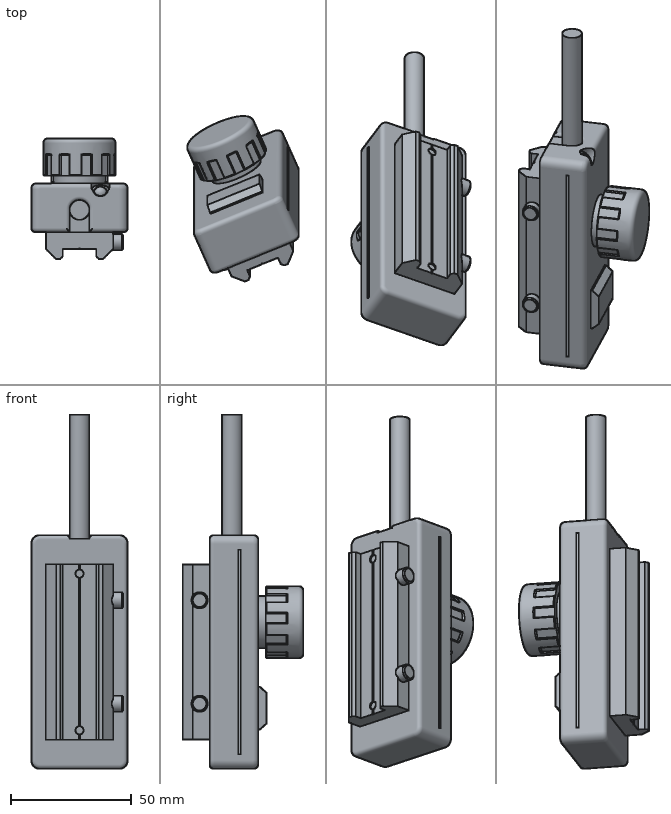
import cadquery as cq
import math

body_width = 40.0
body_depth = 20.3
body_height = 97.0
corner_radius = 3.5
front_rim_radius = 1.8
back_rim_radius = 2.0
overlap = 0.7

seam_y = 12.3
seam_width = 1.0
seam_depth = 0.3
end_cap_height = 6.2

total_height = 147.0
cable_radius = 4.1
cable_y = 9.3
recess_depth = 1.5

rail_half_width = 14.0
rail_height = 72.8
rail_projection = 11.2
rail_shoulder = 6.9
channel_half_width = 6.9
channel_floor = 7.0
tip_outer_x = rail_half_width - (rail_projection - rail_shoulder)
tip_chamfer = 1.2
scribe_width = 0.6
scribe_depth = 0.3
rail_hole_radius = 1.69
rail_hole_spacing = 65.0
rail_hole_depth = 0.6

screw_radius = 3.4
screw_length = 4.1
screw_chamfer = 0.6
screw_spacing = 42.9
screw_y = -4.1

knob_z = 60.9
knob_radius = 15.0
knob_length = 15.6
knob_edge_radius = 1.9
knob_base_chamfer = 0.5
collar_radius = 10.9
collar_length = 3.1
flute_count = 10
flute_start_angle = 11.5
flute_floor_width = 3.8
flute_length = 8.5
flute_depth = 0.7
flute_taper = 40.0

switch_half_width = 11.8
switch_bottom = 16.3
switch_top = 34.1
switch_base = 0.6
switch_projection = 3.4
switch_slope = 2.5

lamp_x = 8.7
lamp_hole_radius = 3.8
lamp_hole_depth = 4.7
lamp_dome_radius = 2.8
lamp_dome_sink = 1.0

middle_z = body_height / 2
knob_start = body_depth + collar_length


def back_plane(y, z):
    """Workplane facing +Y, with local x along -X and local y along +Z."""
    return cq.Workplane(cq.Plane(origin=(0, y, z), xDir=(-1, 0, 0), normal=(0, 1, 0)))


def make_body():
    body = cq.Workplane("XY").box(body_width, body_depth, body_height, centered=(True, False, False))
    body = body.edges("|Y").fillet(corner_radius)
    body = body.faces("<Y").edges().fillet(front_rim_radius)
    body = body.faces(">Y").edges().fillet(back_rim_radius)
    seam_height = body_height - 2 * end_cap_height
    for side in (-1, 1):
        seam = cq.Workplane("XY").box(2 * seam_depth, seam_width, seam_height)
        body = body.cut(seam.translate((side * body_width / 2, seam_y, middle_z)))
    return body


def recess_profile():
    """Half section of the cable recess, with a convex arc for its wall."""
    floor_z = body_height - recess_depth
    outer = cable_radius + recess_depth
    bend = recess_depth * math.sqrt(0.5)
    return (
        cq.Workplane("XZ", origin=(0, cable_y, 0))
        .moveTo(0, floor_z)
        .lineTo(cable_radius, floor_z)
        .threePointArc((outer - bend, floor_z + bend), (outer, body_height))
        .lineTo(0, body_height)
        .close()
    )


def make_cable_recess():
    round_end = recess_profile().revolve(360, (0, 0, 0), (0, 1, 0))
    right_side = recess_profile().extrude(cable_y)
    return round_end.union(right_side).union(right_side.mirror("YZ"))


def make_cable():
    root_z = body_height - recess_depth - overlap
    cable = cq.Workplane("XY", origin=(0, cable_y, root_z))
    return cable.circle(cable_radius).extrude(total_height - root_z)


def make_rail():
    right_side = [
        (rail_half_width, overlap),
        (rail_half_width, -rail_shoulder),
        (tip_outer_x, -rail_projection),
        (channel_half_width + tip_chamfer, -rail_projection),
        (channel_half_width, tip_chamfer - rail_projection),
        (channel_half_width, -channel_floor),
    ]
    left_side = [(-x, y) for x, y in reversed(right_side)]
    bottom_z = middle_z - rail_height / 2
    section = cq.Workplane("XY", origin=(0, 0, bottom_z)).polyline(right_side + left_side).close()
    rail = section.extrude(rail_height)

    scribe = cq.Workplane("XY").box(scribe_width, 2 * scribe_depth, rail_height)
    rail = rail.cut(scribe.translate((0, -channel_floor, middle_z)))
    for side in (-1, 1):
        hole = back_plane(-channel_floor, middle_z + side * rail_hole_spacing / 2)
        rail = rail.cut(hole.circle(rail_hole_radius).extrude(rail_hole_depth))
    return rail


def make_clamp_screw(z):
    screw = cq.Workplane("YZ", origin=(rail_half_width - overlap, screw_y, z))
    return screw.circle(screw_radius).extrude(screw_length + overlap).faces(">X").chamfer(screw_chamfer)


def make_knob():
    knob = back_plane(knob_start, knob_z).circle(knob_radius).extrude(knob_length)
    knob = knob.faces(">Y").edges().fillet(knob_edge_radius)
    knob = knob.faces("<Y").edges().chamfer(knob_base_chamfer)
    flute = (
        cq.Workplane("XY", origin=(0, knob_start, knob_z + knob_radius - flute_depth))
        .rect(flute_floor_width, 2 * flute_length)
        .extrude(2 * flute_depth, taper=-flute_taper)
    )
    for i in range(flute_count):
        angle = flute_start_angle + i * 360 / flute_count
        knob = knob.cut(flute.rotate((0, 0, knob_z), (0, 1, knob_z), angle))
    collar = back_plane(body_depth - overlap, knob_z).circle(collar_radius)
    collar = collar.extrude(collar_length + 2 * overlap)
    return knob.union(collar)


def make_switch():
    base_y = body_depth + switch_base
    face_y = body_depth + switch_projection
    profile = [
        (body_depth - overlap, switch_bottom),
        (base_y, switch_bottom),
        (face_y, switch_bottom + switch_slope),
        (face_y, switch_top - switch_slope),
        (base_y, switch_top),
        (body_depth - overlap, switch_top),
    ]
    return cq.Workplane("YZ").polyline(profile).close().extrude(switch_half_width, both=True)


def add_lamp(body):
    edge_point = (lamp_x, body_depth, body_height)
    lamp_plane = cq.Workplane(cq.Plane(origin=edge_point, xDir=(1, 0, 0), normal=(0, 1, 1)))
    seat = lamp_plane.workplane(offset=-lamp_hole_depth)
    hole = seat.circle(lamp_hole_radius).extrude(2 * lamp_hole_depth)
    dome = seat.workplane(offset=-lamp_dome_sink).sphere(lamp_dome_radius)
    return body.cut(hole).union(dome)


result = add_lamp(make_body().cut(make_cable_recess()))
result = result.union(make_cable()).union(make_rail()).union(make_knob()).union(make_switch())
for side in (-1, 1):
    result = result.union(make_clamp_screw(middle_z + side * screw_spacing / 2))